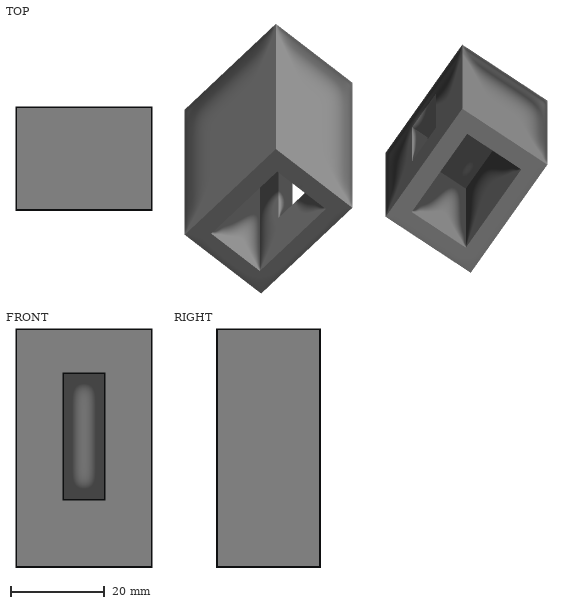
import cadquery as cq

width = 29.0
depth = 22.0
height = 50.75

wall = 4.0
cavity_width = width - 2 * wall
cavity_depth = depth - 2 * wall
cavity_height = height - wall

window_width = 8.95
window_height = 26.95
window_bottom = 14.4


def upright_box(size_x, size_y, size_z):
    """Box centred on the Z axis and standing on Z = 0."""
    return cq.Workplane("XY").box(size_x, size_y, size_z, centered=(True, True, False))


block = upright_box(width, depth, height)
cavity = upright_box(cavity_width, cavity_depth, cavity_height)

window_centre_y = -(depth - wall) / 2
window = upright_box(window_width, wall, window_height).translate((0, window_centre_y, window_bottom))

result = block.cut(cavity).cut(window)